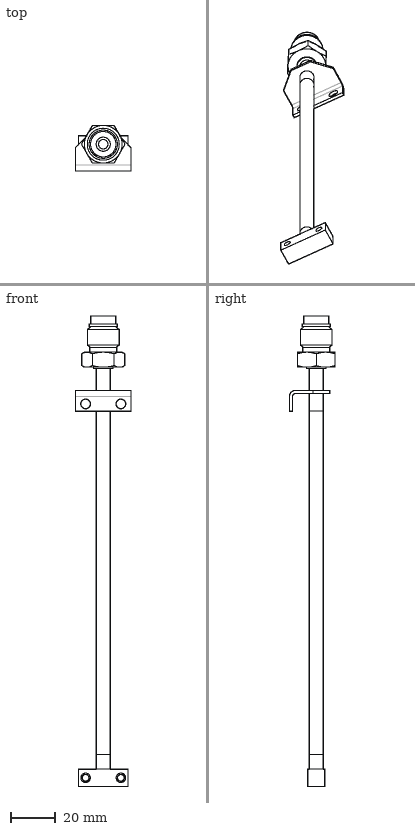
import cadquery as cq
import math

total_height = 211.3
stub_top = 14.4
joint_height = 168.5

tube_radius = 3.2

screw_spacing = 15.8

foot_width = 22.4
foot_height = 7.8
foot_depth = foot_height
foot_hole_diameter = 3.0
foot_countersink_diameter = 4.2
countersink_angle = 90

bracket_width = 25.0
bracket_top = 177.9
bracket_height = 9.5
bracket_front = 12.0
bracket_rear = 6.1
bracket_thickness = 1.5
bend_radius = 2.7
bracket_corner_cut = 7.5
bracket_hole_diameter = 4.2
bracket_hole_drop = 6.1

nut_sides = 6
nut_across_flats = 17.0
nut_bottom = 188.2
nut_top = 195.0
nut_bevel_angle = 30
collar_radius = 4.5
collar_bottom = 187.5
neck_radius = 6.1
neck_top = 197.0
barrel_bottom = 198.2
barrel_radius = 7.2
barrel_shoulder = 205.1
rim_radius = 6.3
rim_bottom = 206.5
rim_top = 207.7
nose_radius = 5.7
socket_radius = 2.1
socket_mouth_radius = 3.2
socket_mouth_depth = 0.6
socket_depth = 6.3
socket_point_angle = 118


def cylinder(radius, bottom, top):
    """Cylinder on the tube axis between two heights."""
    return cq.Workplane("XY").workplane(offset=bottom).circle(radius).extrude(top - bottom)


def screw_points():
    """Centres of a pair of screw holes, either side of the axis along X."""
    return [(-screw_spacing / 2, 0), (screw_spacing / 2, 0)]


def make_foot():
    """Mounting block with a short spigot standing on it."""
    block = cq.Workplane("XY").box(foot_width, foot_depth, foot_height, centered=(True, True, False))
    block = (
        block.faces("<Y").workplane(centerOption="CenterOfBoundBox")
        .pushPoints(screw_points())
        .cskHole(foot_hole_diameter, foot_countersink_diameter, countersink_angle)
    )
    return block.union(cylinder(tube_radius, foot_height, stub_top))


def make_bracket():
    """Bent angle plate that the upper tube passes through."""
    inner_radius = bend_radius - bracket_thickness
    front = -bracket_front
    bracket_bottom = bracket_top - bracket_height
    bend_start = bracket_top - bend_radius
    profile = (
        cq.Workplane("YZ").workplane(offset=-bracket_width / 2)
        .moveTo(front, bracket_bottom)
        .lineTo(front, bend_start)
        .radiusArc((front + bend_radius, bracket_top), bend_radius)
        .lineTo(bracket_rear, bracket_top)
        .lineTo(bracket_rear, bracket_top - bracket_thickness)
        .lineTo(front + bend_radius, bracket_top - bracket_thickness)
        .radiusArc((front + bracket_thickness, bend_start), -inner_radius)
        .lineTo(front + bracket_thickness, bracket_bottom)
        .close()
    )
    plate = profile.extrude(bracket_width)
    plate = plate.edges("|Z and >Y").chamfer(bracket_corner_cut)
    holes = (
        cq.Workplane("XZ", origin=(0, 0, bracket_top - bracket_hole_drop))
        .pushPoints(screw_points())
        .circle(bracket_hole_diameter / 2)
        .extrude(bracket_front)
    )
    return plate.cut(holes).cut(cylinder(tube_radius, bracket_bottom, bracket_top))


def revolve_profile(points):
    """Solid of revolution about the tube axis from (radius, height) points."""
    return cq.Workplane("XZ").polyline(points).close().revolve(360, (0, 0, 0), (0, 1, 0))


def make_nut():
    """Hexagon with flats facing +Y and -Y and its corners bevelled at both ends."""
    nut_face_radius = nut_across_flats / 2
    corner_radius = nut_face_radius / math.cos(math.pi / nut_sides)
    bevel = (corner_radius - nut_face_radius) * math.tan(math.radians(nut_bevel_angle))
    hexagon = (
        cq.Workplane("XY").workplane(offset=nut_bottom)
        .polygon(nut_sides, 2 * corner_radius)
        .extrude(nut_top - nut_bottom)
    )
    bevelled_envelope = revolve_profile([
        (0, nut_bottom),
        (nut_face_radius, nut_bottom),
        (corner_radius, nut_bottom + bevel),
        (corner_radius, nut_top - bevel),
        (nut_face_radius, nut_top),
        (0, nut_top),
    ])
    return hexagon.intersect(bevelled_envelope)


def make_barrel():
    """Wide cylinder with a cone narrowing to the nose radius at each end."""
    return revolve_profile([
        (0, neck_top),
        (nose_radius, neck_top),
        (barrel_radius, barrel_bottom),
        (barrel_radius, barrel_shoulder),
        (nose_radius, rim_bottom),
        (0, rim_bottom),
    ])


def make_socket():
    """Blind drilled hole in the nose with a flared mouth and a conical end."""
    point_depth = socket_radius / math.tan(math.radians(socket_point_angle / 2))
    return revolve_profile([
        (0, total_height - socket_depth - point_depth),
        (socket_radius, total_height - socket_depth),
        (socket_radius, total_height - socket_mouth_depth),
        (socket_mouth_radius, total_height),
        (0, total_height),
    ])


def make_fitting():
    """Union fitting: collar, hexagon, neck, barrel, nose and rim, with a socket in the nose."""
    collar = cylinder(collar_radius, collar_bottom, nut_bottom)
    neck = cylinder(neck_radius, nut_top, neck_top)
    nose = cylinder(nose_radius, rim_bottom, total_height)
    rim = cylinder(rim_radius, rim_bottom, rim_top)
    fitting = make_nut()
    for section in (collar, neck, make_barrel(), nose, rim):
        fitting = fitting.union(section)
    return fitting.cut(make_socket())


foot = make_foot()
long_tube = cylinder(tube_radius, stub_top, joint_height)
upper_tube = cylinder(tube_radius, joint_height, collar_bottom)
bracket = make_bracket()
fitting = make_fitting()

result = cq.Compound.makeCompound(
    [foot.val(), long_tube.val(), upper_tube.val(), bracket.val(), fitting.val()]
)